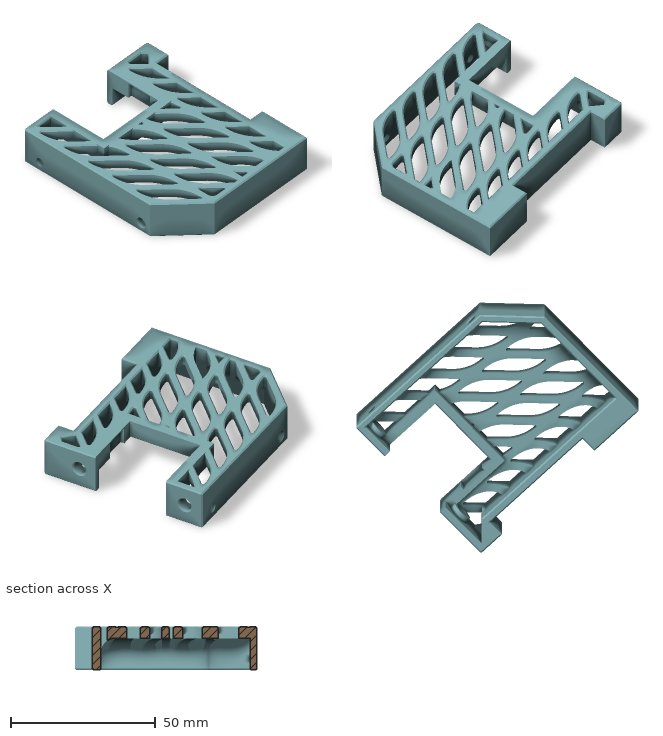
import cadquery as cq
import math

LENGTH = 75.0
WIDTH = 63.0
HEIGHT = 15.0
WALL = 2.6
FRONT_WALL = 2.5
CORNER_CUT = 15.8
EDGE_CHAMFER = 0.5

BACK_RECESS_START = 10.0
BACK_RECESS_END = 54.0
BACK_RECESS_DEPTH = 6.0

PLATE_THICKNESS = 4.0
CEILING_FILLET = 5.0
BACK_WALL = 3.0
CAVITY_BACK = WIDTH - BACK_RECESS_DEPTH - BACK_WALL
TAB_BRACE_START = 9.0

NOTCH_DEPTH = 24.0
NOTCH_FRONT = 14.5
NOTCH_BACK = 42.5
RIM_WIDTH = 3.5
RIM_BOTTOM = 8.0
RIM_CHAMFER = 0.5

POCKET_START = 10.0
POCKET_LENGTH = 10.0
POCKET_DEPTH = 1.5
POCKET_SKIN = 0.5

STRUT = 2.5
COLUMN_PITCH = 11.35
ROW_PITCH = 15.15
ROW_SHIFT = COLUMN_PITCH / 3
FIRST_TIP_X = 4.68
WINDOW_HEIGHT = ROW_PITCH - STRUT
PLAIN_WINDOW_HEIGHT = 11.4
WINDOW_WIDTH = COLUMN_PITCH - STRUT * math.sqrt(2)
LEAF_RADIUS = 15.0
TIP_RADIUS = 0.5
CORNER_WINDOW_RADIUS = 2.0
WINDOW_CHAMFER = 0.5

END_HOLE_DIAMETER = 4.7
END_HOLE_POSITIONS = (7.0, 49.0)
END_HOLE_CHAMFER = 0.5
BOSS_DIAMETER = 7.5
BOSS_START = WALL / 2
BOSS_END = 4.5

FRONT_HOLE_DIAMETER = 3.3
FRONT_HOLE_POSITIONS = (7.5, 55.0)
FRONT_HOLE_HEIGHT = 4.0
COUNTERSINK_DEPTH = 0.5


def prism(points, bottom, top):
    return cq.Workplane("XY").workplane(offset=bottom).polyline(points).close().extrude(top - bottom)


def box(x_range, y_range, z_range):
    size = [high - low for low, high in (x_range, y_range, z_range)]
    corner = (x_range[0], y_range[0], z_range[0])
    return cq.Workplane("XY").box(*size, centered=False).translate(corner)


def make_block():
    recess_y = WIDTH - BACK_RECESS_DEPTH
    outline = [
        (0, 0),
        (LENGTH - CORNER_CUT, 0),
        (LENGTH, CORNER_CUT),
        (LENGTH, WIDTH),
        (BACK_RECESS_END, WIDTH),
        (BACK_RECESS_END, recess_y),
        (BACK_RECESS_START, recess_y),
        (BACK_RECESS_START, WIDTH),
        (0, WIDTH),
    ]
    block = prism(outline, 0, HEIGHT)
    block = block.edges("|Z and <X").chamfer(EDGE_CHAMFER)
    return block.faces("<Z or >Z").edges().chamfer(EDGE_CHAMFER)


def cavity_prism(top):
    cut = CORNER_CUT + WALL * math.sqrt(2) - WALL - FRONT_WALL
    right = LENGTH - WALL
    outline = [
        (WALL, FRONT_WALL),
        (right - cut, FRONT_WALL),
        (right, FRONT_WALL + cut),
        (right, CAVITY_BACK),
        (TAB_BRACE_START, CAVITY_BACK),
        (WALL, CAVITY_BACK + TAB_BRACE_START - WALL),
    ]
    return prism(outline, 0, top)


def cut_cavity(body):
    """Hollow the body from below; the ceiling is rounded along the right and back walls."""
    cavity = cavity_prism(HEIGHT - PLATE_THICKNESS)
    cavity = cavity.faces(">Z").edges(">X or (|X and (not <Y))").fillet(CEILING_FILLET)
    body = body.cut(cavity)
    bottom_edges = body.faces("<Z").val().innerWires()[0].Edges()
    return body.newObject(bottom_edges).chamfer(EDGE_CHAMFER)


def window(row, column, height=WINDOW_HEIGHT, leaf=True, pointed=False):
    """Sheared prism with 45 degree sides; rows count from the front, columns from the left."""
    x = FIRST_TIP_X + row * ROW_SHIFT + column * COLUMN_PITCH
    y = FRONT_WALL + row * ROW_PITCH
    outline = [
        (x, y),
        (x + WINDOW_WIDTH, y),
        (x + WINDOW_WIDTH + height, y + height),
        (x + height, y + height),
    ]
    solid = prism(outline, 0, HEIGHT)
    if leaf:
        solid = solid.edges("|Z and (not (<X or >X))").fillet(LEAF_RADIUS)
    if not pointed:
        solid = solid.edges("|Z and (<X or >X)").fillet(TIP_RADIUS)
    return solid.intersect(cavity_prism(HEIGHT))


def chamfered_windows():
    columns_of_rows = [range(-1, 5), range(0, 5), range(0, 4), range(-1, 5)]
    windows = []
    for row, columns in enumerate(columns_of_rows):
        windows += [window(row, column) for column in columns]

    corner_window = window(1, 5, leaf=False)
    corner_window = corner_window.edges("|Z").edges(">X").edges(">Y").fillet(TIP_RADIUS)
    corner_window = corner_window.edges("|Z").edges(">X").edges("<Y").fillet(CORNER_WINDOW_RADIUS)
    side_window = window(2, 5, leaf=False, pointed=True)
    side_window = side_window.edges("|Z").edges(">X").edges(">Y").fillet(TIP_RADIUS)
    tab_window = window(3, -2).edges("|Z").edges("<X").edges("<Y").fillet(TIP_RADIUS)
    return windows + [corner_window, side_window, tab_window]


def cut_windows(body):
    """Cut all windows; the last one has no chamfer around its top edge."""
    for solid in chamfered_windows():
        body = body.cut(solid)
    top_face = body.faces(">Z").val()
    window_edges = [edge for wire in top_face.innerWires() for edge in wire.Edges()]
    body = body.newObject(window_edges).chamfer(WINDOW_CHAMFER)
    return body.cut(window(2, 4, height=PLAIN_WINDOW_HEIGHT, pointed=True))


def add_rim_and_notch(body):
    """Add the solid rim, then open the notch inside it, chamfer its lower edge and cut the pocket."""
    rim = box(
        (WALL - WINDOW_CHAMFER, NOTCH_DEPTH + RIM_WIDTH),
        (NOTCH_FRONT - RIM_WIDTH, NOTCH_BACK + RIM_WIDTH),
        (RIM_BOTTOM, HEIGHT),
    )
    notch = box((0, NOTCH_DEPTH), (NOTCH_FRONT, NOTCH_BACK), (0, HEIGHT))
    flare_top = RIM_BOTTOM + RIM_CHAMFER
    flare = [
        (NOTCH_DEPTH, RIM_BOTTOM),
        (NOTCH_DEPTH + RIM_CHAMFER, RIM_BOTTOM),
        (NOTCH_DEPTH, flare_top),
    ]
    rim_chamfer = cq.Workplane("XZ", origin=(0, NOTCH_BACK, 0)).polyline(flare).close()
    rim_chamfer = rim_chamfer.extrude(NOTCH_BACK - NOTCH_FRONT)
    pocket = box(
        (POCKET_START, POCKET_START + POCKET_LENGTH),
        (NOTCH_BACK, NOTCH_BACK + POCKET_DEPTH),
        (0, HEIGHT - POCKET_SKIN),
    )
    return body.union(rim).cut(notch).cut(rim_chamfer).cut(pocket)


def add_end_holes(body):
    radius = END_HOLE_DIAMETER / 2
    for y in END_HOLE_POSITIONS:
        face = cq.Workplane("YZ", origin=(0, y, HEIGHT / 2))
        boss = face.workplane(offset=BOSS_START).circle(BOSS_DIAMETER / 2).extrude(BOSS_END - BOSS_START)
        hole = face.circle(radius).extrude(BOSS_END)
        countersink = cq.Solid.makeCone(
            radius + END_HOLE_CHAMFER, radius, END_HOLE_CHAMFER,
            cq.Vector(0, y, HEIGHT / 2), cq.Vector(1, 0, 0),
        )
        body = body.union(boss).cut(hole).cut(cq.Workplane(countersink))
    return body


def cut_front_holes(body):
    radius = FRONT_HOLE_DIAMETER / 2
    for x in FRONT_HOLE_POSITIONS:
        hole = cq.Workplane("XZ", origin=(x, 0, FRONT_HOLE_HEIGHT)).circle(radius).extrude(-FRONT_WALL)
        body = body.cut(hole)
    countersink = cq.Solid.makeCone(
        radius + COUNTERSINK_DEPTH, radius, COUNTERSINK_DEPTH,
        cq.Vector(FRONT_HOLE_POSITIONS[-1], 0, FRONT_HOLE_HEIGHT), cq.Vector(0, 1, 0),
    )
    return body.cut(cq.Workplane(countersink))


result = make_block()
result = cut_cavity(result)
result = cut_windows(result)
result = add_rim_and_notch(result)
result = add_end_holes(result)
result = cut_front_holes(result)